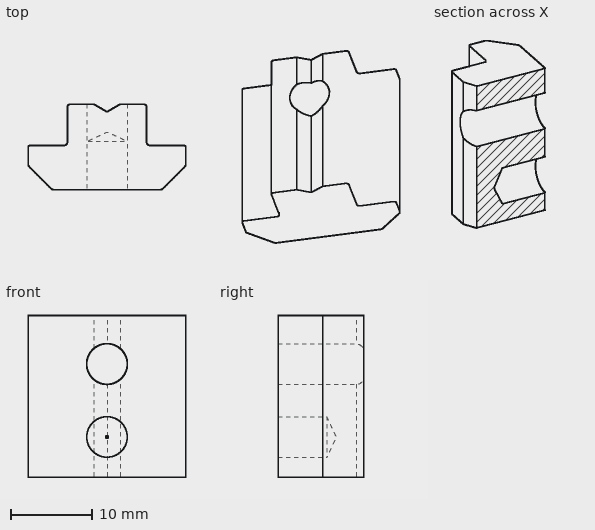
import cadquery as cq
import math

length = 20.0
base_width = 19.5
total_depth = 10.6

base_depth = 5.5
stem_width = 9.8
chamfer_size = 3.0
groove_width = 3.3
groove_angle = 120.0

stem_radius = 0.4
base_edge_radius = 0.3
chamfer_edge_radius = 0.5

hole_diameter = 5.0
through_hole_z = 4.0
blind_hole_z = -5.0
blind_depth = 6.0
drill_tip_angle = 130.0
drill_tip_flat_diameter = 0.3

front_y = -total_depth / 2
shoulder_y = front_y + base_depth
back_y = total_depth / 2
half_base = base_width / 2
half_stem = stem_width / 2
half_groove = groove_width / 2
groove_depth = half_groove / math.tan(math.radians(groove_angle / 2))


def make_body():
    """T-shaped bar with chamfered front corners and a V-groove along the stem."""
    right_half = [
        (half_base - chamfer_size, front_y),
        (half_base, front_y + chamfer_size),
        (half_base, shoulder_y),
        (half_stem, shoulder_y),
        (half_stem, back_y),
        (half_groove, back_y),
    ]
    left_half = [(-x, y) for x, y in reversed(right_half)]
    groove_bottom = (0, back_y - groove_depth)
    profile = right_half + [groove_bottom] + left_half
    return cq.Workplane("XY").polyline(profile).close().extrude(length).translate((0, 0, -length / 2))


def round_edges(body, x, y, radius):
    """Round the pair of lengthwise edges at (x, y) and (-x, y)."""
    edges = body.edges(cq.selectors.NearestToPointSelector((x, y, 0)))
    edges = edges.add(body.edges(cq.selectors.NearestToPointSelector((-x, y, 0))))
    return edges.fillet(radius)


def through_hole(z):
    """Cylinder passing through the whole depth."""
    drill = cq.Workplane("XZ", origin=(0, front_y, z)).circle(hole_diameter / 2)
    return drill.extrude(-total_depth)


def blind_hole(z):
    """Cylinder ending in a conical drill tip with a tiny flat."""
    radius = hole_diameter / 2
    flat_radius = drill_tip_flat_diameter / 2
    tip_depth = (radius - flat_radius) / math.tan(math.radians(drill_tip_angle / 2))
    half_section = [
        (0, 0),
        (radius, 0),
        (radius, blind_depth),
        (flat_radius, blind_depth + tip_depth),
        (0, blind_depth + tip_depth),
    ]
    drill = cq.Workplane("XY").polyline(half_section).close().revolve(360, (0, 0), (0, 1))
    return drill.translate((0, front_y, z))


result = make_body()
result = round_edges(result, half_stem, back_y, stem_radius)
result = round_edges(result, half_stem, shoulder_y, stem_radius)
result = round_edges(result, half_base, shoulder_y, base_edge_radius)
result = round_edges(result, half_base, front_y + chamfer_size, chamfer_edge_radius)
result = round_edges(result, half_base - chamfer_size, front_y, chamfer_edge_radius)
result = result.cut(through_hole(through_hole_z))
result = result.cut(blind_hole(blind_hole_z))